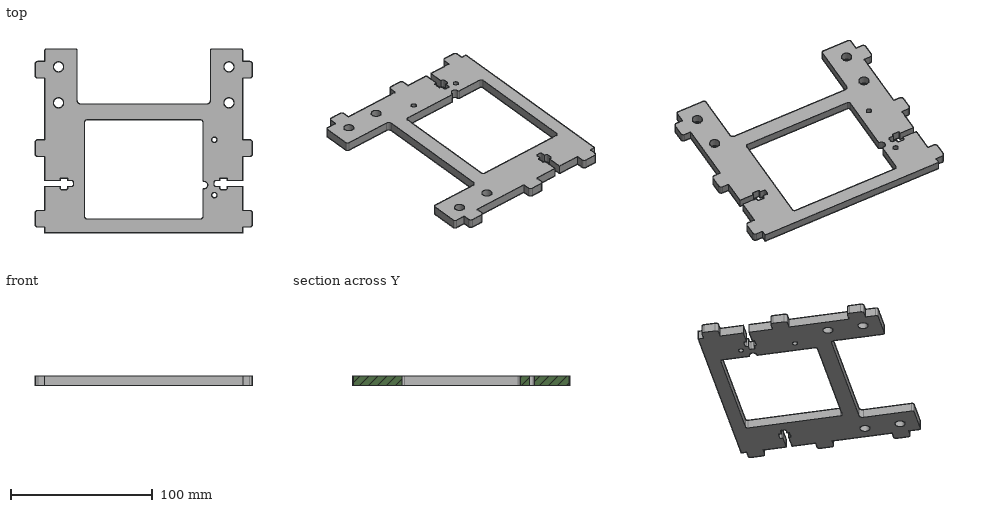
import cadquery as cq

thickness = 6.8
body_width = 140.0
body_length = 130.0
half_width = body_width / 2
corner_radius = 1.5

tab_depth = thickness
tab_radius = 2.0
tab_width = 12.0
tab_bottom_ys = [3.9, 53.8, 109.2]

leg_width = 23.0
bay_width = body_width - 2 * leg_width
bay_floor_y = 91.0
bay_radius = 2.5

window_width = 83.4
window_bottom_y = 9.8
window_top_y = 79.7
window_radius = 1.5

relief_y = 33.7
relief_radius = 2.5
relief_depth = 3.4
relief_mouth_radius = 1.0

slot_depth = 20.2
slot_bottom_y = 32.7
slot_top_y = 36.8
slot_radius = 1.0
nut_offset = 13.6
nut_width = 5.2
nut_bottom_y = 30.5
nut_top_y = 38.5
nut_radius = 1.0

leg_hole_diameter = 7.0
leg_hole_x = 60.2
leg_hole_ys = [91.8, 117.2]
small_hole_diameter = 3.6
small_hole_x = 49.9
small_hole_ys = [26.6, 65.7]


def block(x0, x1, y0, y1):
    """Full-thickness block between two opposite corners."""
    return cq.Workplane("XY").box(x1 - x0, y1 - y0, thickness, centered=False).translate((x0, y0, 0))


def make_body():
    body = block(-half_width, half_width, 0, body_length)
    bay = block(-bay_width / 2, bay_width / 2, bay_floor_y, 2 * body_length)
    bay = bay.edges("|Z and <Y").fillet(bay_radius)
    body = body.cut(bay)
    return body.faces(">Y").edges("|Z").fillet(corner_radius)


def make_tab(bottom_y):
    """Right-hand tab with rounded outer corners, rooted inside the body."""
    tab = block(half_width - tab_depth, half_width + tab_depth, bottom_y, bottom_y + tab_width)
    return tab.edges("|Z and >X").fillet(tab_radius)


def make_slot():
    """Right-hand slot with its nut pocket."""
    slot = block(half_width - slot_depth, half_width, slot_bottom_y, slot_top_y)
    slot = slot.edges("|Z and <X").fillet(slot_radius)
    nut_x = half_width - nut_offset
    pocket = block(nut_x - nut_width / 2, nut_x + nut_width / 2, nut_bottom_y, nut_top_y)
    pocket = pocket.edges("|Z and <Y").fillet(nut_radius)
    return slot.union(pocket)


def make_window():
    half = window_width / 2
    window = block(-half, half, window_bottom_y, window_top_y).edges("|Z").fillet(window_radius)
    relief = (
        cq.Workplane("XY")
        .center(half + relief_depth - relief_radius, relief_y)
        .circle(relief_radius)
        .extrude(thickness)
    )
    mouth = cq.selectors.BoxSelector(
        (half - relief_mouth_radius / 2, relief_y - relief_radius, 0),
        (half + relief_mouth_radius / 2, relief_y + relief_radius, thickness),
    )
    window = window.union(relief)
    return window.edges("|Z").edges(mouth).fillet(relief_mouth_radius)


def make_holes(points, diameter):
    return cq.Workplane("XY").pushPoints(points).circle(diameter / 2).extrude(thickness)


def mirrored(shape):
    """The shape together with its mirror image on the left side."""
    return shape.union(shape.mirror("YZ"))


result = make_body()
for tab_y in tab_bottom_ys:
    result = result.union(mirrored(make_tab(tab_y)))
result = result.cut(mirrored(make_slot()))
result = result.cut(make_window())
leg_holes = make_holes([(leg_hole_x, y) for y in leg_hole_ys], leg_hole_diameter)
result = result.cut(mirrored(leg_holes))
result = result.cut(make_holes([(small_hole_x, y) for y in small_hole_ys], small_hole_diameter))